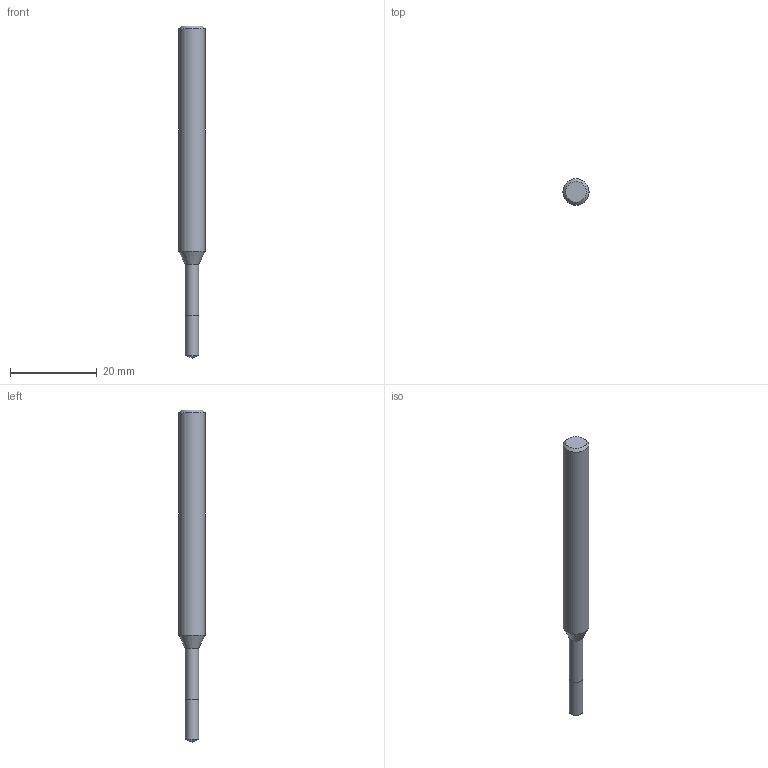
import cadquery as cq
import math


shank_diameter = 6.0
drill_diameter = 3.1
point_angle = 140.0
body_length = 76.0
cutting_length = 9.3
neck_end = 21.0
taper_length = 3.0
end_chamfer_width = 0.6
end_chamfer_height = 0.6

shank_radius = shank_diameter / 2
drill_radius = drill_diameter / 2
point_length = drill_radius / math.tan(math.radians(point_angle / 2))
shank_start = neck_end + taper_length


def revolve_about_z(profile):
    """Turn a closed (radius, height) outline into a solid around the Z axis."""
    return cq.Workplane("XZ").polyline(profile).close().revolve(360, (0, 0), (0, 1))


def make_cutting_part():
    """Cylindrical cutting section with its conical point."""
    return revolve_about_z([
        (0, -point_length),
        (drill_radius, 0),
        (drill_radius, cutting_length),
        (0, cutting_length),
    ])


def make_shank():
    """Neck, taper and shank, chamfered at the free end."""
    return revolve_about_z([
        (0, cutting_length),
        (drill_radius, cutting_length),
        (drill_radius, neck_end),
        (shank_radius, shank_start),
        (shank_radius, body_length - end_chamfer_height),
        (shank_radius - end_chamfer_width, body_length),
        (0, body_length),
    ])


cutting_part = make_cutting_part()
shank = make_shank()

result = cq.Compound.makeCompound([cutting_part.val(), shank.val()])